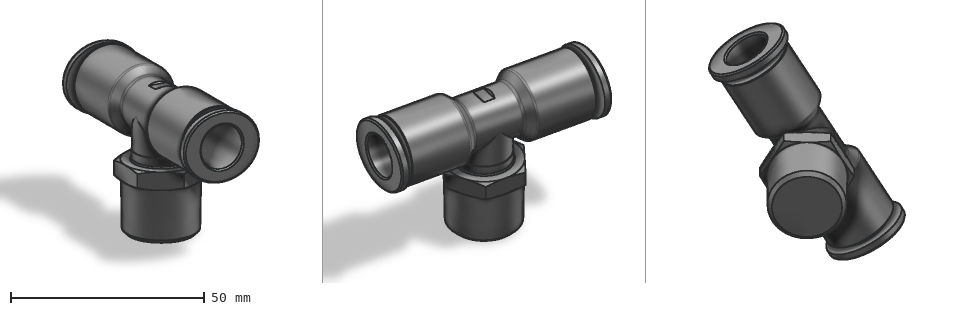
import cadquery as cq
import math


overall_length = 64.4
end_x = overall_length / 2
collar_width = 22.5
collar_height = 19.5
collar_thickness = 2.25
collar_chamfer = 0.45
collar_neck_radius = 7.1
tube_radius = 6.05
tube_mouth_chamfer = 0.45

barrel_radius = 9.9
barrel_end_x = 28.2
barrel_end_chamfer = 0.2
cone_outer_x = 10.25
cone_inner_x = 7.55
cone_outer_fillet = 0.9
cone_inner_fillet = 1.2
waist_radius = 7.55

notch_depth = 0.48
notch_floor_width = 3.2

overall_height = 42.8
branch_bottom = overall_height - barrel_radius
sleeve_radius = 7.65
sleeve_top = 10.25
sleeve_flare = 0.4
hex_top = 12.95
hex_height = 5.0
hex_bottom = hex_top + hex_height
hex_across_flats = 21.1
hex_flat_radius = hex_across_flats / 2
hex_corner_radius = hex_flat_radius / math.cos(math.pi / 6)
hex_corner_drop = 0.55
thread_top_radius = 10.5
thread_end_radius = 10.25
thread_chamfer = 1.15

match_tolerance = 0.005


def revolve_about_z(profile):
    """Turn (radius, depth) points, listed from top to bottom, into a solid on the branch axis."""
    points = [(radius, -depth) for radius, depth in profile]
    closed = [(0, points[0][1])] + points + [(0, points[-1][1])]
    return cq.Workplane("XZ").polyline(closed).close().revolve(360, (0, 0, 0), (0, 1, 0))


def make_run_body():
    """Waist with a coned barrel on each side; the shoulder edges are rounded."""
    right_half = [
        (cone_inner_x, waist_radius),
        (cone_outer_x, barrel_radius),
        (barrel_end_x - barrel_end_chamfer, barrel_radius),
        (barrel_end_x, barrel_radius - barrel_end_chamfer),
        (barrel_end_x, 0),
    ]
    left_half = [(-x, radius) for x, radius in reversed(right_half)]
    body = (
        cq.Workplane("XZ")
        .polyline(left_half + right_half)
        .close()
        .revolve(360, (0, 0, 0), (1, 0, 0))
    )

    def circles_at(x, radius):
        return [
            edge
            for edge in body.edges("%CIRCLE").vals()
            if math.isclose(abs(edge.Center().x), x, abs_tol=match_tolerance)
            and math.isclose(edge.radius(), radius, abs_tol=match_tolerance)
        ]

    body = body.newObject(circles_at(cone_outer_x, barrel_radius)).fillet(cone_outer_fillet)
    return body.newObject(circles_at(cone_inner_x, waist_radius)).fillet(cone_inner_fillet)


def make_collar():
    """Oval release collar at the +X end, with the round neck that enters the barrel."""
    flange = (
        cq.Workplane("YZ", origin=(end_x - collar_thickness, 0, 0))
        .ellipse(collar_width / 2, collar_height / 2)
        .extrude(collar_thickness)
        .faces(">X")
        .chamfer(collar_chamfer)
    )
    neck = cq.Workplane("YZ", origin=(cone_outer_x, 0, 0)).circle(collar_neck_radius)
    return flange.union(neck.extrude(end_x - collar_thickness - cone_outer_x))


def make_tube_bore():
    """Blind tube socket from the +X end to the inner end of the barrel, with a chamfered mouth."""
    profile = [
        (cone_outer_x, 0),
        (cone_outer_x, tube_radius),
        (end_x - tube_mouth_chamfer, tube_radius),
        (end_x, tube_radius + tube_mouth_chamfer),
        (end_x, 0),
    ]
    return cq.Workplane("XZ").polyline(profile).close().revolve(360, (0, 0, 0), (1, 0, 0))


def make_notch():
    """Cutter for the notch: a trapezoid that widens upward, drawn along Y."""
    floor_z = waist_radius - notch_depth
    half_floor = notch_floor_width / 2
    cutter_height = 2 * notch_depth
    half_mouth = half_floor + cutter_height
    mouth_z = floor_z + cutter_height
    outline = [
        (-half_floor, floor_z),
        (half_floor, floor_z),
        (half_mouth, mouth_z),
        (-half_mouth, mouth_z),
    ]
    return cq.Workplane("XZ").polyline(outline).close().extrude(waist_radius, both=True)


def make_hex():
    """Hexagon with corners on the X axis, its corners beveled at top and bottom."""
    prism = (
        cq.Workplane("XY", origin=(0, 0, -hex_bottom))
        .polygon(6, 2 * hex_corner_radius)
        .extrude(hex_height)
    )
    bevel = revolve_about_z([
        (hex_flat_radius, hex_top),
        (hex_corner_radius, hex_top + hex_corner_drop),
        (hex_corner_radius, hex_bottom - hex_corner_drop),
        (hex_flat_radius, hex_bottom),
    ])
    return prism.intersect(bevel)


def make_branch():
    """Stem with its flared sleeve, the hexagon and the tapered thread blank."""
    stem = revolve_about_z([
        (waist_radius, 0),
        (waist_radius, sleeve_top),
        (sleeve_radius, sleeve_top),
        (sleeve_radius, hex_top - sleeve_flare),
        (sleeve_radius + sleeve_flare, hex_top),
    ])
    thread = revolve_about_z([
        (thread_top_radius, hex_bottom),
        (thread_end_radius, branch_bottom - thread_chamfer),
        (thread_end_radius - thread_chamfer, branch_bottom),
    ])
    return stem.union(make_hex()).union(thread)


result = make_run_body().cut(make_notch()).union(make_branch())

right_collar = make_collar()
right_bore = make_tube_bore()
for collar in (right_collar, right_collar.mirror("YZ")):
    result = result.union(collar)
for bore in (right_bore, right_bore.mirror("YZ")):
    result = result.cut(bore)